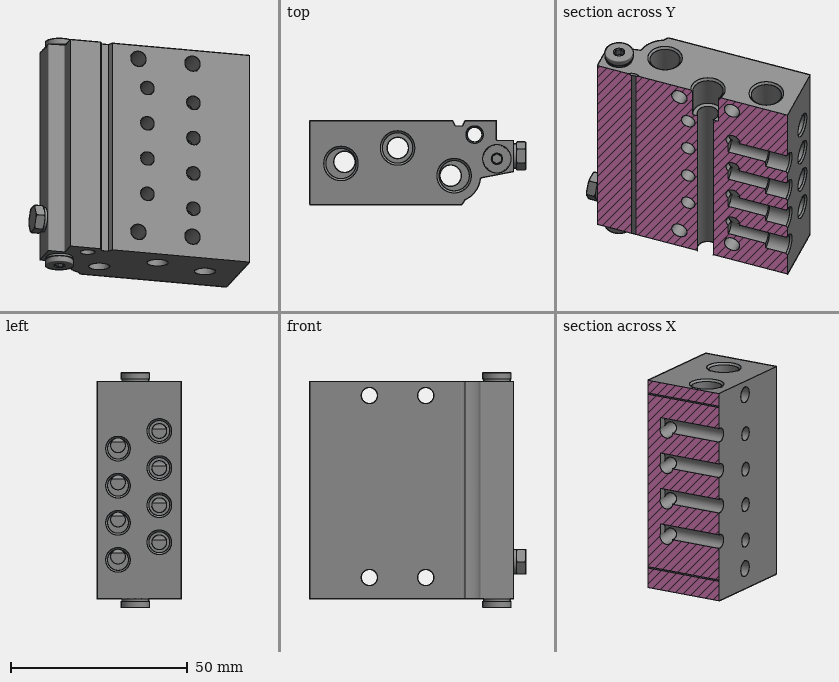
import cadquery as cq
import math


overall_length = 61.2
overall_height = 66.5
block_depth = 23.9
block_height = 61.6
block_top = block_height / 2
hex_sides = 6
hex_corner_ratio = 2 / math.sqrt(3)
cut_margin = 0.65

nose_x = 57.7
back_end_x = 52.9
nose_back_y = 18.2
nose_front_y = 9.4
nose_root_y = 7.6
corner_radius = 7.5
corner_foot_y = 1.4
front_end_x = 43.1
edge_radius = 0.2
foot_radius = 0.4
inner_corner_radius = 0.4

groove_x = 42.2
groove_width = 3.5
groove_floor = 2.0
groove_depth = 1.5

port_pitch = 16.0
first_port_x = 8.85
port_x = [first_port_x + i * port_pitch for i in range(3)]
port_y = [11.7, 16.1, 8.25]
port_diameter = 8.6
port_mouth_diameter = 9.8
port_depth = 9.3
gallery_diameter = 6.0
gallery_x = [9.85, 24.95, 39.9]
gallery_y = [12.2, 16.1, 8.25]

pilot_x = 46.7
pilot_y = 19.9
pilot_diameter = 4.1
pilot_mouth_diameter = 5.0

station_count = 4
station_pitch = 10.5
outlet_diameter = 5.9
outlet_mouth_diameter = 7.0
outlet_depth = 6.65
feed_diameter = 4.2
cross_bore_diameter = 4.0

front_outlet_y = 6.25
front_outlet_z = 16.75
front_feed_end = 31.9
front_cross_rise = 1.6
front_cross_x = 30.2

back_outlet_y = 17.95
row_offset = 5.0
back_outlet_z = front_outlet_z - row_offset
back_feed_rise = 0.9
back_feed_end = 17.95
back_cross_rise = 3.4
back_cross_x = 16.6

mount_diameter = 4.5
mount_x = [16.9, 32.85]
mount_z = [26.8, -24.75]

plug_x = 53.0
plug_y = 13.05
plug_height = (overall_height - block_height) / 2
plug_diameter = 8.05
plug_neck_diameter = 7.6
plug_neck_height = 0.7
plug_rounding = 0.1
socket_mouth_diameter = 3.2
socket_across_flats = 2.5
socket_corner_diameter = socket_across_flats * hex_corner_ratio
socket_depth = 2.2
socket_turn = 90

screw_y = 13.8
screw_z = -20.3
screw_collar_diameter = 7.0
screw_collar_height = 0.8
hex_across_flats = 7.0
hex_corner_diameter = hex_across_flats * hex_corner_ratio
hex_height = overall_length - nose_x - screw_collar_height
hex_chamfer = 0.25


def bore(start, direction, diameter, length):
    """Cylinder that begins at a point and runs along a direction."""
    return cq.Workplane(cq.Solid.makeCylinder(diameter / 2, length, cq.Vector(start), cq.Vector(direction)))


def mouth(start, direction, mouth_diameter, diameter):
    """45 degree countersink that narrows from the mouth diameter to the bore diameter."""
    depth = (mouth_diameter - diameter) / 2
    return cq.Workplane(
        cq.Solid.makeCone(mouth_diameter / 2, diameter / 2, depth, cq.Vector(start), cq.Vector(direction))
    )


def vertical_edge_at(solid, x, y):
    """Vertical edge of the block that stands at a point of its outline."""
    reach = 0.05
    box = cq.selectors.BoxSelector(
        (x - reach, y - reach, -block_height), (x + reach, y + reach, block_height)
    )
    return solid.edges("|Z").edges(box)


def block_body():
    centre_x = port_x[2]
    centre_y = port_y[2]
    start_angle = math.asin((corner_foot_y - centre_y) / corner_radius)
    end_angle = math.asin((nose_root_y - centre_y) / corner_radius)
    mid_angle = (start_angle + end_angle) / 2
    corner_foot, corner_middle, nose_root = [
        (centre_x + corner_radius * math.cos(angle), centre_y + corner_radius * math.sin(angle))
        for angle in (start_angle, mid_angle, end_angle)
    ]
    body = (
        cq.Workplane("XY", origin=(0, 0, -block_top))
        .moveTo(0, 0)
        .lineTo(front_end_x, 0)
        .lineTo(*corner_foot)
        .threePointArc(corner_middle, nose_root)
        .lineTo(nose_x, nose_front_y)
        .lineTo(nose_x, nose_back_y)
        .lineTo(back_end_x, nose_back_y)
        .lineTo(back_end_x, block_depth)
        .lineTo(0, block_depth)
        .close()
        .extrude(block_height)
    )
    rounded_corners = [
        (0, 0, edge_radius),
        (0, block_depth, edge_radius),
        (nose_x, nose_front_y, edge_radius),
        (nose_x, nose_back_y, edge_radius),
        (front_end_x, 0, foot_radius),
        (back_end_x, nose_back_y, inner_corner_radius),
        (*nose_root, inner_corner_radius),
    ]
    for x, y, radius in rounded_corners:
        body = vertical_edge_at(body, x, y).fillet(radius)
    return body


def back_groove():
    """Trapezoidal groove along the full height of the back face."""
    return (
        cq.Workplane("XY", origin=(groove_x, block_depth, -block_top))
        .moveTo(-groove_width / 2, 0)
        .lineTo(-groove_floor / 2, -groove_depth)
        .lineTo(groove_floor / 2, -groove_depth)
        .lineTo(groove_width / 2, 0)
        .close()
        .extrude(block_height)
    )


def supply_port(x, y, through_x, through_y):
    """Countersunk port from the top with an offset passage down through the block."""
    down = (0, 0, -1)
    port = bore((x, y, block_top), down, port_diameter, port_depth)
    port = port.union(mouth((x, y, block_top), down, port_mouth_diameter, port_diameter))
    return port.union(bore((through_x, through_y, block_top), down, gallery_diameter, block_height))


def pilot_hole():
    top = (pilot_x, pilot_y, block_top)
    down = (0, 0, -1)
    hole = bore(top, down, pilot_diameter, block_height)
    return hole.union(mouth(top, down, pilot_mouth_diameter, pilot_diameter))


def outlet(y, z, feed_z, feed_end, cross_x, cross_z):
    """Outlet port, its feed passage and the bore from the back face that supplies it."""
    inward = (1, 0, 0)
    cross_length = block_depth - y + cross_bore_diameter / 2
    cutter = bore((0, y, z), inward, outlet_diameter, outlet_depth)
    cutter = cutter.union(mouth((0, y, z), inward, outlet_mouth_diameter, outlet_diameter))
    cutter = cutter.union(bore((0, y, feed_z), inward, feed_diameter, feed_end))
    return cutter.union(bore((cross_x, block_depth, cross_z), (0, -1, 0), cross_bore_diameter, cross_length))


def make_block():
    block = block_body().cut(back_groove()).cut(pilot_hole())
    for x, y, through_x, through_y in zip(port_x, port_y, gallery_x, gallery_y):
        block = block.cut(supply_port(x, y, through_x, through_y))
    for station in range(station_count):
        drop = station * station_pitch
        front_z = front_outlet_z - drop
        back_z = back_outlet_z - drop
        front_cross_z = front_z + front_cross_rise
        back_feed_z = back_z + back_feed_rise
        back_cross_z = back_z + back_cross_rise
        block = block.cut(outlet(front_outlet_y, front_z, front_z, front_feed_end, front_cross_x, front_cross_z))
        block = block.cut(outlet(back_outlet_y, back_z, back_feed_z, back_feed_end, back_cross_x, back_cross_z))
    for x in mount_x:
        for z in mount_z:
            start = (x, -cut_margin, z)
            block = block.cut(bore(start, (0, 1, 0), mount_diameter, block_depth + 2 * cut_margin))
    return block


def make_plug(side):
    """End plug that sits on the top (side = 1) or bottom (side = -1) of the nose."""
    outward = cq.Plane(origin=(plug_x, plug_y, side * block_top), xDir=(1, 0, 0), normal=(0, 0, side))
    neck = cq.Workplane(outward).circle(plug_neck_diameter / 2).extrude(plug_neck_height)
    head = (
        cq.Workplane(outward)
        .workplane(offset=plug_neck_height)
        .circle(plug_diameter / 2)
        .extrude(plug_height - plug_neck_height)
        .faces(">Z" if side > 0 else "<Z")
        .fillet(plug_rounding)
    )
    socket = (
        cq.Workplane(outward)
        .workplane(offset=plug_height - socket_depth)
        .transformed(rotate=(0, 0, socket_turn))
        .polygon(hex_sides, socket_corner_diameter)
        .extrude(socket_depth)
    )
    top_centre = (plug_x, plug_y, side * overall_height / 2)
    countersink = mouth(top_centre, (0, 0, -side), socket_mouth_diameter, socket_across_flats)
    return neck.union(head).cut(socket).cut(countersink)


def make_screw():
    """Hexagon head on a round collar; two corners of the hexagon point along Y."""
    seat = cq.Workplane("YZ", origin=(nose_x, screw_y, screw_z))
    collar = seat.circle(screw_collar_diameter / 2).extrude(screw_collar_height)
    head_base = seat.workplane(offset=screw_collar_height)
    hexagon = head_base.polygon(hex_sides, hex_corner_diameter).extrude(hex_height)
    corner_trim = head_base.circle(hex_corner_diameter / 2).extrude(hex_height)
    corner_trim = corner_trim.faces("<X or >X").chamfer(hex_chamfer)
    return collar.union(hexagon.intersect(corner_trim))


block = make_block()
plugs = [make_plug(side) for side in (1, -1)]
screw = make_screw()

result = cq.Compound.makeCompound([block.val(), *[plug.val() for plug in plugs], screw.val()])